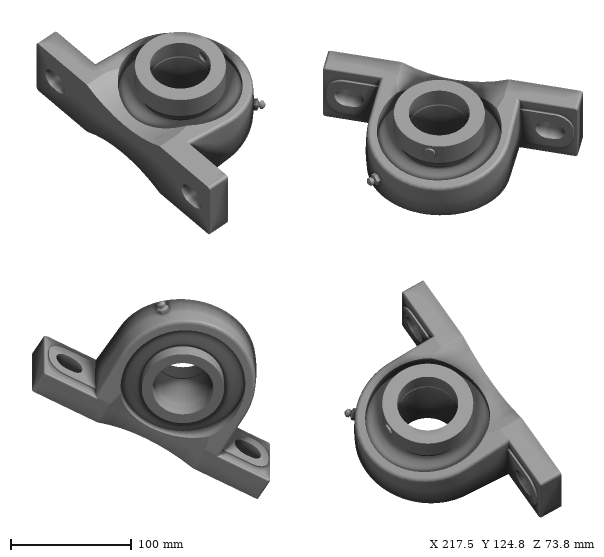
import cadquery as cq
import math


base_length = 217.5
base_width = 58.7
base_thickness = 21.0
center_height = 63.5
base_corner_radius = 2.6
base_edge_radius = 1.5

slot_pitch = 171.4
slot_length = 25.0
slot_width = 20.0
pad_height = 1.7
pad_width = 38.7
pad_end = 105.3
pad_corner_radius = 15.7
pad_foot_radius = 0.7

arch_radius = 61.3
crown_radius = 195.8
taper_angle = 7.0
arch_edge_radius = 3.0

relief_half_span = 45.7
relief_depth = 11.0
relief_edge_radius = 2.6

outer_ring_diameter = 104.2
outer_ring_edge_radius = 0.98
outer_ring_bore = 87.9
outer_ring_width = 25.0
bore_diameter = 51.0
inner_ring_diameter = 68.5
inner_ring_land_diameter = 65.0
inner_ring_land_width = 30.9
inner_ring_width = 55.2
inner_ring_chamfer = 1.3

seal_diameter = 96.8
seal_cone_diameter = 89.0
seal_lip_diameter = 69.5
seal_thickness = 1.3
seal_cone_rise = 0.7

collar_diameter = 76.1
collar_bottom = 23.3
collar_top = 44.4
collar_top_chamfer = 0.33
collar_bottom_chamfer = 0.9
screw_diameter = 9.5
screw_tip_diameter = 8.0
screw_z = 36.3
screw_inner_y = 27.0
screw_outer_y = 39.5

nipple_angle = 45.0
nipple_hex_corners = 10.5
nipple_hex_turn = -8.0
nipple_seat = 59.8
nipple_hex_end = 64.5
nipple_shoulder_end = 65.7
nipple_neck_diameter = 4.8
nipple_neck_end = 66.8
nipple_head_diameter = 7.0
nipple_head_end = 69.2
nipple_tip_diameter = 2.2
nipple_tip_end = 71.0

half_width = base_width / 2
base_bottom_y = -center_height
base_top_y = base_bottom_y + base_thickness
outer_ring_face = outer_ring_width / 2
inner_ring_face = inner_ring_width / 2
inner_ring_land_end = inner_ring_land_width / 2
nipple_direction = cq.Vector(
    math.cos(math.radians(nipple_angle)),
    math.sin(math.radians(nipple_angle)),
    0,
)
nipple_plane = cq.Plane(origin=nipple_direction * nipple_seat, xDir=(0, 0, 1), normal=nipple_direction)


def cylinder(diameter, z_start, z_end):
    return cq.Workplane("XY").workplane(offset=z_start).circle(diameter / 2).extrude(z_end - z_start)


def turned(points):
    """Solid turned about Z from its half section of (radius, z) points."""
    return cq.Workplane("XZ").polyline(points).close().revolve(360, (0, 0, 0), (0, 1, 0))


def nipple_hex(r_end):
    """Hexagonal prism from the seat out to a distance from the bore axis."""
    return (
        cq.Workplane(nipple_plane)
        .transformed(rotate=(0, 0, nipple_hex_turn))
        .polygon(6, nipple_hex_corners)
        .extrude(r_end - nipple_seat)
    )


def make_arch():
    """Arched body on two straight legs: crowned sides, tapered faces and rounded edges between them."""
    top_y = 2 * arch_radius
    face_slope = math.tan(math.radians(taper_angle))
    top_half_width = half_width - (top_y - base_top_y) * face_slope
    foot_half_width = half_width + (base_top_y - base_bottom_y) * face_slope
    crown_drop = crown_radius - math.sqrt(crown_radius**2 - foot_half_width**2)
    side = arch_radius - crown_drop

    section = (
        cq.Sketch()
        .segment((0, -foot_half_width), (side, -foot_half_width))
        .arc((side, -foot_half_width), (arch_radius, 0), (side, foot_half_width))
        .segment((side, foot_half_width), (0, foot_half_width))
        .close()
        .assemble()
    )
    top = cq.Workplane("XZ").placeSketch(section).revolve(180, (0, 0, 0), (0, 1, 0))
    leg = cq.Workplane("XZ").placeSketch(section).extrude(center_height)
    wedge = (
        cq.Workplane("YZ")
        .polyline([
            (base_bottom_y, -foot_half_width),
            (top_y, -top_half_width),
            (top_y, top_half_width),
            (base_bottom_y, foot_half_width),
        ])
        .close()
        .extrude(arch_radius, both=True)
    )
    arch = top.union(leg).union(leg.mirror("YZ")).intersect(wedge)
    arch = arch.edges("%ELLIPSE or %BSPLINE").fillet(arch_edge_radius)
    base_slab = cq.Workplane("XY").box(base_length, 4 * arch_radius, base_width)
    return arch.intersect(base_slab)


def make_base():
    """Foot plate with rounded corners and a rounded top edge."""
    return (
        cq.Workplane("XZ", origin=(0, base_bottom_y, 0))
        .rect(base_length, base_width)
        .extrude(-base_thickness)
        .edges("|Y")
        .fillet(base_corner_radius)
        .faces(">Y")
        .edges()
        .fillet(base_edge_radius)
    )


def make_pad(side):
    """Raised pad that runs from around one slot to the arch."""
    pad_length = 2 * (pad_end - arch_radius)
    return (
        cq.Workplane("XZ", origin=(side * arch_radius, base_bottom_y, 0))
        .rect(pad_length, pad_width)
        .extrude(-base_thickness - pad_height)
        .edges("|Y")
        .fillet(pad_corner_radius)
    )


def make_reliefs():
    """Two round cutters, along Y, that hollow the long sides of the base."""
    relief_radius = (relief_half_span**2 + relief_depth**2) / (2 * relief_depth)
    center_z = half_width - relief_depth + relief_radius
    return (
        cq.Workplane("XZ", origin=(0, base_bottom_y, 0))
        .pushPoints([(0, center_z), (0, -center_z)])
        .circle(relief_radius)
        .extrude(-2 * arch_radius - center_height)
    )


def make_slots():
    return (
        cq.Workplane("XZ", origin=(0, base_bottom_y, 0))
        .pushPoints([(-slot_pitch / 2, 0), (slot_pitch / 2, 0)])
        .slot2D(slot_length, slot_width)
        .extrude(-base_thickness - pad_height)
    )


def round_pad_feet(housing):
    """Blend the outline of each pad into the top of the base."""
    for side in (-1, 1):
        outline_zone = cq.selectors.BoxSelector(
            (side * arch_radius, base_top_y - pad_foot_radius, -base_width / 2 + base_edge_radius),
            (side * base_length / 2, base_top_y + pad_foot_radius, base_width / 2 - base_edge_radius),
            boundingbox=True,
        )
        outline = housing.edges(outline_zone).edges("%CIRCLE")
        housing = outline.fillet(pad_foot_radius)
    return housing


def round_relief_corners(housing):
    """Round the four corners of the base where a hollow runs into a straight side."""
    reach = relief_edge_radius / 2
    for x in (-relief_half_span, relief_half_span):
        for z in (-half_width, half_width):
            near_corner = cq.selectors.BoxSelector(
                (x - reach, base_bottom_y, z - reach),
                (x + reach, base_top_y, z + reach),
            )
            housing = housing.edges("|Y").edges(near_corner).fillet(relief_edge_radius)
    return housing


def make_housing():
    housing = make_base()
    for side in (-1, 1):
        housing = housing.union(make_pad(side))
    housing = round_pad_feet(housing)
    housing = housing.union(make_arch())
    housing = round_relief_corners(housing.cut(make_reliefs()))
    housing = housing.cut(make_slots())
    housing = housing.cut(cylinder(outer_ring_diameter, -half_width, half_width))
    return housing.cut(nipple_hex(nipple_hex_end))


def make_outer_ring():
    """Outer ring with rounded outer edges and a rebate at each face for a seal."""
    ring = cylinder(outer_ring_diameter, -outer_ring_face, outer_ring_face)
    ring = ring.edges().fillet(outer_ring_edge_radius)
    ring = ring.cut(cylinder(outer_ring_bore, -outer_ring_face, outer_ring_face))
    rebate = cylinder(seal_diameter, outer_ring_face - seal_thickness, outer_ring_face)
    return ring.cut(rebate).cut(rebate.mirror("XY"))


def make_inner_ring():
    """Inner ring with a narrower middle under the seals and a narrower nose inside the collar."""
    land_radius = inner_ring_land_diameter / 2
    rim_radius = inner_ring_diameter / 2
    bore_radius = bore_diameter / 2
    return turned([
        (bore_radius, -inner_ring_face),
        (rim_radius, -inner_ring_face),
        (rim_radius, -inner_ring_land_end),
        (land_radius, -inner_ring_land_end),
        (land_radius, inner_ring_land_end),
        (rim_radius, inner_ring_land_end),
        (rim_radius, collar_bottom),
        (land_radius, collar_bottom),
        (land_radius, inner_ring_face),
        (bore_radius + inner_ring_chamfer, inner_ring_face),
        (bore_radius, inner_ring_face - inner_ring_chamfer),
    ])


def make_seal(side):
    """Dished seal: a flat rim, a shallow cone rising inward and a thin lip on the inner ring."""
    inner = outer_ring_face - seal_thickness
    seal = turned([
        (seal_diameter / 2, inner),
        (seal_diameter / 2, outer_ring_face),
        (seal_cone_diameter / 2, outer_ring_face),
        (seal_lip_diameter / 2, outer_ring_face + seal_cone_rise),
        (seal_lip_diameter / 2, outer_ring_face),
        (inner_ring_land_diameter / 2, outer_ring_face),
        (inner_ring_land_diameter / 2, inner),
    ])
    return seal if side > 0 else seal.mirror("XY")


def screw_cylinder(diameter, y_start, y_end):
    return cq.Workplane("XZ", origin=(0, y_start, screw_z)).circle(diameter / 2).extrude(y_start - y_end)


def make_collar():
    """Locking collar, recessed over the nose of the inner ring and drilled for the set screw."""
    collar = cylinder(collar_diameter, collar_bottom, collar_top)
    collar = collar.faces(">Z").edges().chamfer(collar_top_chamfer)
    collar = collar.faces("<Z").edges().chamfer(collar_bottom_chamfer)
    collar = collar.cut(cylinder(bore_diameter, collar_bottom, collar_top))
    collar = collar.cut(cylinder(inner_ring_land_diameter, collar_bottom, inner_ring_face))
    return collar.cut(screw_cylinder(screw_diameter, 0, collar_diameter))


def make_set_screw():
    tip_chamfer = (screw_diameter - screw_tip_diameter) / 2
    screw = screw_cylinder(screw_diameter, screw_inner_y, screw_outer_y)
    return screw.faces("<Y").edges().chamfer(tip_chamfer)


def make_nipple():
    """Hexagon in the housing seat, with a tapered shoulder, a neck and a pointed head turned on it."""
    shoulder_radius = nipple_hex_corners / 2 * math.cos(math.pi / 6)
    neck_radius = nipple_neck_diameter / 2
    head_radius = nipple_head_diameter / 2
    turned_part = turned([
        (0, nipple_hex_end),
        (shoulder_radius, nipple_hex_end),
        (neck_radius, nipple_shoulder_end),
        (neck_radius, nipple_neck_end),
        (head_radius, nipple_neck_end),
        (head_radius, nipple_head_end),
        (nipple_tip_diameter / 2, nipple_tip_end),
        (0, nipple_tip_end),
    ])
    lying_part = turned_part.rotate((0, 0, 0), (1, 0, 0), -90).rotate((0, 0, 0), (0, 0, 1), nipple_angle - 90)
    return nipple_hex(nipple_hex_end).union(lying_part)


housing = make_housing()
outer_ring = make_outer_ring()
inner_ring = make_inner_ring()
seals = [make_seal(side) for side in (-1, 1)]
collar = make_collar()
set_screw = make_set_screw()
grease_nipple = make_nipple()

result = cq.Compound.makeCompound([
    housing.val(),
    outer_ring.val(),
    inner_ring.val(),
    *[seal.val() for seal in seals],
    collar.val(),
    set_screw.val(),
    grease_nipple.val(),
])